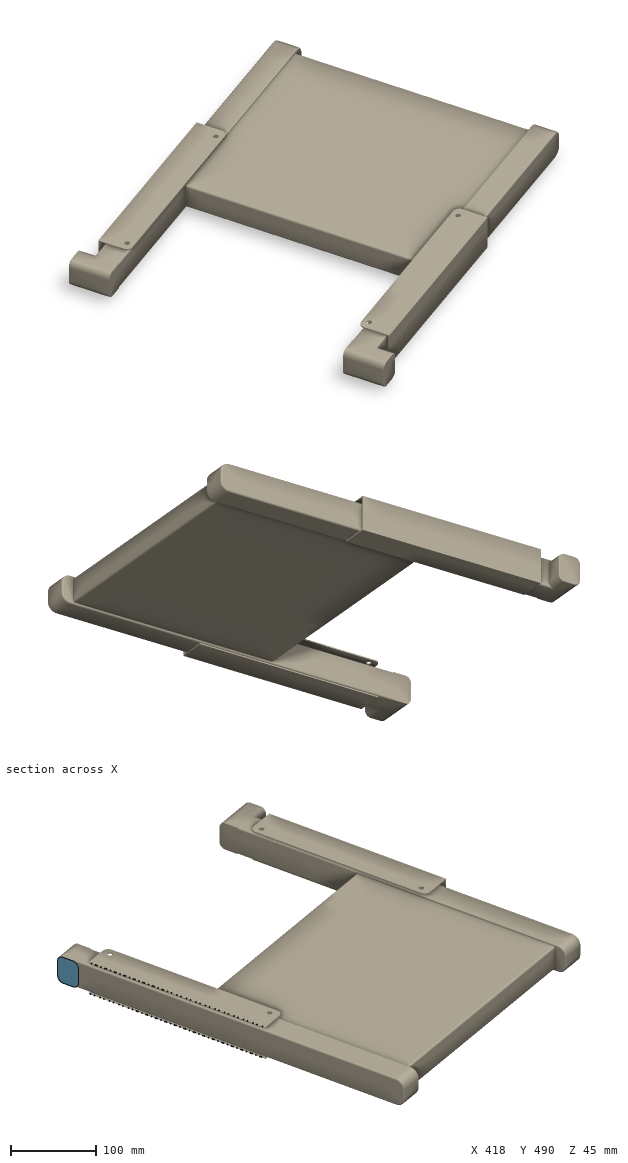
import cadquery as cq

total_width = 418.0
total_length = 490.0
total_height = 45.0

rail_width = 32.0
rail_height = 37.0
rail_edge_radius = 2.0
rail_tail_radius = 12.0
rail_inner_x = 155.0
rail_outer_x = rail_inner_x + rail_width
rail_edges_start_y = 25.0

hook_depth = 30.0
hook_radius = 8.0
hook_end_radius = 1.0
hook_outer_x = total_width / 2

sheet_thickness = 1.5
bracket_start_y = 45.0
bracket_length = 250.0
bracket_outer_x = 193.0
flange_inner_x = 151.5
flange_corner_radius = 8.0

rail_bottom_z = sheet_thickness
rail_top_z = rail_bottom_z + rail_height
rail_center_z = (rail_bottom_z + rail_top_z) / 2

hole_diameter = 6.5
hole_x = 160.5
hole_start_y = 56.0
hole_spacing = 226.0

panel_start_y = 193.5
panel_length = 281.0
panel_height = 32.0
panel_edge_radius = 2.5


def box_between(x_range, y_range, z_range):
    """Box spanning the given coordinate ranges."""
    size = [high - low for low, high in (x_range, y_range, z_range)]
    corner = (x_range[0], y_range[0], z_range[0])
    return cq.Workplane("XY").box(*size, centered=False).translate(corner)


def make_rail():
    """Rail with a rounded tail and softened side edges, starting inside the hooked foot."""
    rail = box_between(
        (rail_inner_x, rail_outer_x),
        (hook_depth / 2, total_length),
        (rail_bottom_z, rail_top_z),
    )
    rail = rail.edges("|X and >Y").fillet(rail_tail_radius)
    return rail.faces("<X or >X").edges("not <Y").fillet(rail_edge_radius)


def make_hook():
    """Foot that turns outward from the rail, rounded along its length."""
    hook = box_between(
        (rail_inner_x, hook_outer_x),
        (0, hook_depth),
        (rail_bottom_z, rail_top_z),
    )
    hook = hook.edges("|X").fillet(hook_radius)
    hook = hook.faces(">X").edges().fillet(hook_end_radius)
    root = box_between(
        (rail_inner_x, rail_outer_x),
        (hook_depth / 2, rail_edges_start_y),
        (rail_bottom_z, rail_top_z),
    )
    return hook.union(root)


def make_bracket():
    """Channel standing clear of the rail's top and outer side, with its lower flange under the rail."""
    y_range = (bracket_start_y, bracket_start_y + bracket_length)
    side_plate = box_between(
        (bracket_outer_x - sheet_thickness, bracket_outer_x), y_range, (0, total_height)
    )
    top_flange = box_between(
        (flange_inner_x, bracket_outer_x), y_range, (total_height - sheet_thickness, total_height)
    )
    top_flange = top_flange.edges("|Z and <X").fillet(flange_corner_radius)
    hole_positions = [(hole_x, hole_start_y), (hole_x, hole_start_y + hole_spacing)]
    holes = (
        cq.Workplane("XY", origin=(0, 0, total_height - sheet_thickness))
        .pushPoints(hole_positions)
        .circle(hole_diameter / 2)
        .extrude(sheet_thickness)
    )
    bottom_flange = box_between(
        (rail_inner_x + rail_edge_radius, bracket_outer_x), y_range, (0, sheet_thickness)
    )
    return side_plate.union(top_flange.cut(holes)).union(bottom_flange)


def make_panel():
    """Flat panel with softened front and back edges, reaching both rails."""
    panel = box_between(
        (-rail_inner_x, rail_inner_x),
        (panel_start_y, panel_start_y + panel_length),
        (rail_center_z - panel_height / 2, rail_center_z + panel_height / 2),
    )
    return panel.edges("|X").fillet(panel_edge_radius)


right_side = make_rail().union(make_hook()).union(make_bracket())
left_side = right_side.mirror("YZ")
result = make_panel().union(right_side).union(left_side)